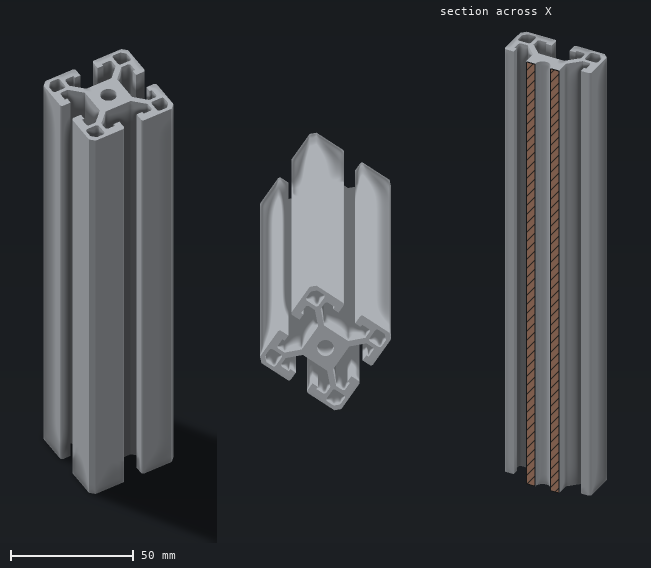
import cadquery as cq
import math

LENGTH = 203.2
WIDTH = 40.0
CORNER_CHAMFER = 2.0

SLOT_WIDTH = 8.15
LIP_THICKNESS = 4.5
NIB_HEIGHT = 1.1
NIB_WIDTH = 2.7
CAVITY_WIDTH = 22.0
MOUTH_FILLET = 1.0
CAVITY_FILLET = 1.0
CORE_WIDTH = 15.3
WEB_THICKNESS = 2.4
BORE_DIAMETER = 6.8

CORNER_WALL = 1.5
HOLLOW_SIZE = 6.0
HOLLOW_CHAMFER = 1.9
HOLLOW_FILLET = 1.0

CORNER_TOLERANCE = 0.01

HALF = WIDTH / 2
CORE_HALF = CORE_WIDTH / 2
WEB_OFFSET = WEB_THICKNESS / math.sqrt(2)


def edges_through(corners):
    """Selector for the lengthwise edges that pass through the given (x, y) corners."""
    selector = None
    for x, y in corners:
        box = cq.selectors.BoxSelector(
            (x - CORNER_TOLERANCE, y - CORNER_TOLERANCE, 0),
            (x + CORNER_TOLERANCE, y + CORNER_TOLERANCE, LENGTH),
        )
        selector = box if selector is None else selector + box
    return selector


def slot_cutter():
    """T-slot opening through the +Y face, running the full length."""
    mouth = SLOT_WIDTH / 2
    nib_outer = mouth + NIB_WIDTH
    cavity = CAVITY_WIDTH / 2
    nib_y = HALF - LIP_THICKNESS
    ceiling_y = nib_y + NIB_HEIGHT
    right_half = [
        (mouth, HALF),
        (mouth, nib_y),
        (nib_outer, nib_y),
        (nib_outer, ceiling_y),
        (cavity, ceiling_y),
        (cavity, cavity + WEB_OFFSET),
        (CORE_HALF - WEB_OFFSET, CORE_HALF),
    ]
    left_half = [(-x, y) for x, y in reversed(right_half)]
    slot = cq.Workplane("XY").polyline(right_half + left_half).close().extrude(LENGTH)
    cavity_corners = [(-cavity, ceiling_y), (cavity, ceiling_y)]
    return slot.edges(edges_through(cavity_corners)).fillet(CAVITY_FILLET)


def corner_hollow_cutter():
    """Square hollow inside the +X +Y corner, running the full length."""
    outer = HALF - CORNER_WALL
    inner = outer - HOLLOW_SIZE
    center = (inner + outer) / 2
    hollow = cq.Workplane("XY").center(center, center).rect(HOLLOW_SIZE, HOLLOW_SIZE).extrude(LENGTH)
    hollow = hollow.edges(edges_through([(outer, outer)])).chamfer(HOLLOW_CHAMFER)
    return hollow.edges("|Z").fillet(HOLLOW_FILLET)


def mouth_corners():
    """Outer corners of the four slot openings."""
    mouth = SLOT_WIDTH / 2
    corners = []
    for face in (-HALF, HALF):
        for lip in (-mouth, mouth):
            corners += [(lip, face), (face, lip)]
    return corners


def build_extrusion():
    body = cq.Workplane("XY").rect(WIDTH, WIDTH).extrude(LENGTH)
    body = body.edges("|Z").chamfer(CORNER_CHAMFER)
    slot = slot_cutter()
    hollow = corner_hollow_cutter()
    for side in range(4):
        angle = 90 * side
        body = body.cut(slot.rotate((0, 0, 0), (0, 0, 1), angle))
        body = body.cut(hollow.rotate((0, 0, 0), (0, 0, 1), angle))
    body = body.edges(edges_through(mouth_corners())).fillet(MOUTH_FILLET)
    return body.faces(">Z").workplane(origin=(0, 0, LENGTH)).hole(BORE_DIAMETER)


result = build_extrusion()